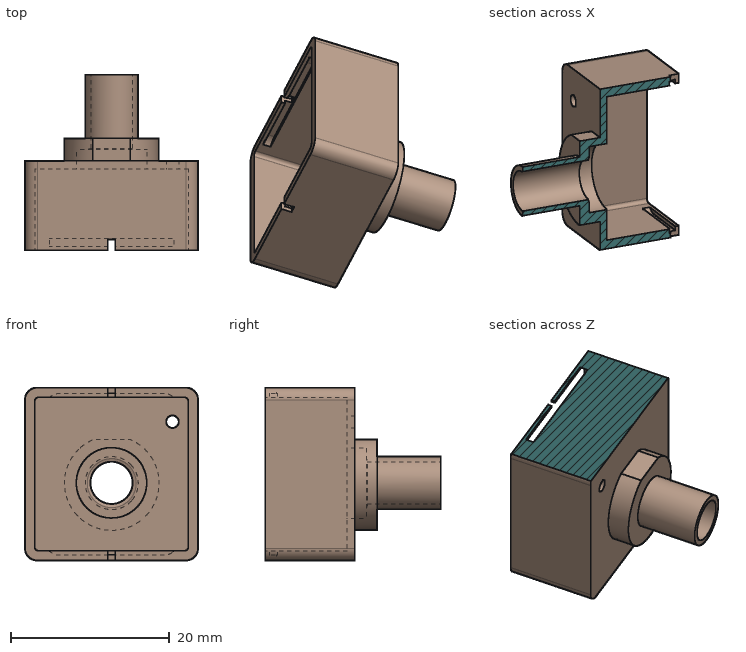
import cadquery as cq
import math

total_length = 22.17
box_width = 21.88
box_height = 21.84
box_depth = 11.3
wall = 1.25
floor_thickness = 1.0
outer_corner_radius = 1.57
inner_corner_radius = 0.5

axis_z = -1.1
flange_diameter = 11.95
flange_length = 2.84
flange_flat_height = 5.48
tube_diameter = 6.7
bore_diameter = 5.3
bore_mouth_diameter = 6.19
bore_mouth_depth = 0.13
counterbore_diameter = 8.9
counterbore_end_wall = 1.37
flange_end = box_depth + flange_length
counterbore_end = flange_end - counterbore_end_wall

vent_diameter = 1.55
vent_x = 7.7
vent_z = 6.6

notch_width = 0.89
notch_depth = 1.37
groove_front = 0.5
groove_back = 1.5
groove_depth = 0.53
groove_length = 15.75
groove_end_radius = 2.0


def rounded_block(width, height, start, end, radius):
    block = cq.Workplane("XY").box(width, end - start, height)
    return block.translate((0, (start + end) / 2, 0)).edges("|Y").fillet(radius)


def rod(diameter, start, end, x=0, z=axis_z):
    face = cq.Workplane("XZ", origin=(x, start, z))
    return face.circle(diameter / 2).extrude(start - end)


def flange():
    disc = rod(flange_diameter, box_depth, flange_end)
    trim = cq.Workplane("XY").box(flange_diameter, total_length * 2, flange_diameter)
    return disc.cut(trim.translate((0, 0, axis_z + flange_flat_height + flange_diameter / 2)))


def bore_mouth():
    """Conical lead-in from the counterbore into the bore."""
    radial_step = (bore_mouth_diameter - bore_diameter) / 2
    bore_mouth_angle = math.degrees(math.atan(radial_step / bore_mouth_depth))
    face = cq.Workplane("XZ", origin=(0, counterbore_end, axis_z))
    return face.circle(bore_mouth_diameter / 2).extrude(-bore_mouth_depth, taper=bore_mouth_angle)


def top_groove():
    """Groove with rounded ends in the inner face of the top wall."""
    inner_z = box_height / 2 - wall
    half_mouth = groove_length / 2
    end_angle = math.acos(1 - groove_depth / groove_end_radius)
    half_bottom = half_mouth - groove_end_radius * math.sin(end_angle)
    arc_middle_x = half_bottom + groove_end_radius * math.sin(end_angle / 2)
    arc_middle_z = groove_depth - groove_end_radius * (1 - math.cos(end_angle / 2))
    return (
        cq.Workplane("XZ", origin=(0, groove_front, inner_z))
        .moveTo(-half_mouth, 0)
        .threePointArc((-arc_middle_x, arc_middle_z), (-half_bottom, groove_depth))
        .lineTo(half_bottom, groove_depth)
        .threePointArc((arc_middle_x, arc_middle_z), (half_mouth, 0))
        .close()
        .extrude(groove_front - groove_back)
    )


cup = rounded_block(box_width, box_height, 0, box_depth, outer_corner_radius)
cavity = rounded_block(
    box_width - 2 * wall,
    box_height - 2 * wall,
    0,
    box_depth - floor_thickness,
    inner_corner_radius,
)
notches = cq.Workplane("XY").box(notch_width, 2 * notch_depth, box_height)

result = cup.union(flange()).union(rod(tube_diameter, flange_end, total_length))
result = result.cut(cavity).cut(notches)
result = result.cut(top_groove()).cut(top_groove().mirror("XY"))
result = result.cut(rod(counterbore_diameter, 0, counterbore_end))
result = result.cut(bore_mouth())
result = result.cut(rod(bore_diameter, 0, total_length))
result = result.cut(rod(vent_diameter, 0, box_depth, vent_x, vent_z))